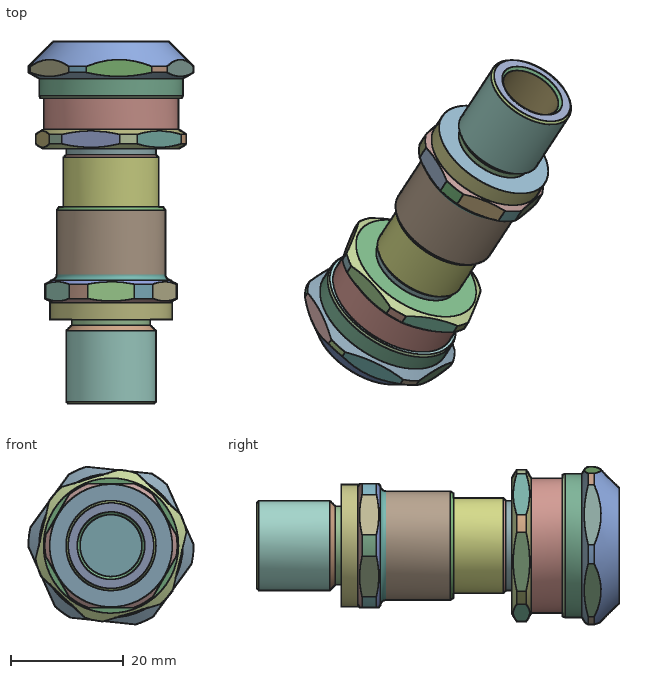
import cadquery as cq
import math


thread_dia = 16.0
thread_tip_chamfer = 0.4
thread_length = 13.0
neck_dia = 14.0
nipple_length = 15.0
neck_cone_length = (thread_dia - neck_dia) / 2

bore_dia = 11.0
bore_chamfer = 0.5
bore_depth = nipple_length

collar_dia = 21.8
collar_length = 3.0
entry_hex_length = 4.0
entry_hex_flats = 22.0
entry_hex_corners = 23.5
entry_hex_face_dia = 21.0
entry_hex_angle = 90.0

body_dia = 19.4
body_fillet = 1.0
body_end = 35.0
body_chamfer_length = 0.6
body_chamfer_depth = 0.4

sleeve_dia = 17.0
sleeve_end_dia = 16.0
sleeve_chamfer_start = 43.8
sleeve_chamfer = (sleeve_dia - sleeve_end_dia) / 2

middle_hex_start = 45.3
middle_hex_length = 3.5
middle_hex_flats = 25.0
middle_hex_corners = 27.2
middle_hex_face_dia = 24.0
middle_hex_angle = 46.8

barrel_dia = 24.0
rim_dia = 25.6
rim_start = 54.3
rim_chamfer_length = 0.5
rim_chamfer_depth = 0.2

cap_start = 57.8
cap_flats = 27.0
cap_corners = 29.4
cap_angle = 84.0
total_length = 64.44
cap_end_dia = 20.5
recess_dia = 18.0
recess_depth = 0.4

hex_chamfer_slope = math.tan(math.radians(30))
hex_half_sector = 30.0

collar_end = nipple_length + collar_length
entry_hex_end = collar_end + entry_hex_length
middle_hex_end = middle_hex_start + middle_hex_length


def cylinder(diameter, start, end):
    """Round bar along Y between two stations."""
    return cq.Workplane("XZ", origin=(0, start, 0)).circle(diameter / 2).extrude(start - end)


def revolve_profile(points):
    """Solid of revolution about Y from (radius, station) points that start and end on the axis."""
    return cq.Workplane("XY").polyline(points).close().revolve(360, (0, 0), (0, 1))


def hexagon(across_flats, flat_angle, start, end):
    """Hexagonal bar along Y with one flat facing flat_angle, measured from +X towards +Z."""
    corner_dia = across_flats / math.cos(math.radians(hex_half_sector))
    bar = cq.Workplane("XZ", origin=(0, start, 0)).polygon(6, corner_dia).extrude(start - end)
    return bar.rotate((0, 0, 0), (0, 1, 0), hex_half_sector - flat_angle)


def chamfered_hexagon(across_flats, across_corners, face_dia, flat_angle, start, end):
    """Hexagon with rounded-off corners and a conical chamfer on both faces."""
    corner_radius = across_corners / 2
    face_radius = face_dia / 2
    chamfer_length = (corner_radius - face_radius) * hex_chamfer_slope
    envelope = revolve_profile([
        (0, start),
        (face_radius, start),
        (corner_radius, start + chamfer_length),
        (corner_radius, end - chamfer_length),
        (face_radius, end),
        (0, end),
    ])
    return hexagon(across_flats, flat_angle, start, end).intersect(envelope)


def nipple():
    thread_radius = thread_dia / 2
    neck_radius = neck_dia / 2
    return revolve_profile([
        (0, 0),
        (thread_radius - thread_tip_chamfer, 0),
        (thread_radius, thread_tip_chamfer),
        (thread_radius, thread_length),
        (neck_radius, thread_length + neck_cone_length),
        (neck_radius, nipple_length),
        (0, nipple_length),
    ])


def bore():
    radius = bore_dia / 2
    return revolve_profile([
        (0, 0),
        (radius + bore_chamfer, 0),
        (radius, bore_chamfer),
        (radius, bore_depth),
        (0, bore_depth),
    ])


def entry_body():
    """Collar, hexagon and round body that meets the hexagon in a concave fillet."""
    radius = body_dia / 2
    fillet_offset = body_fillet * (1 - math.cos(math.radians(45)))
    barrel = (
        cq.Workplane("XY")
        .moveTo(0, entry_hex_end)
        .lineTo(radius + body_fillet, entry_hex_end)
        .threePointArc(
            (radius + fillet_offset, entry_hex_end + fillet_offset),
            (radius, entry_hex_end + body_fillet),
        )
        .lineTo(radius, body_end - body_chamfer_length)
        .lineTo(radius - body_chamfer_depth, body_end)
        .lineTo(0, body_end)
        .close()
        .revolve(360, (0, 0), (0, 1))
    )
    hex_part = chamfered_hexagon(
        entry_hex_flats, entry_hex_corners, entry_hex_face_dia, entry_hex_angle, collar_end, entry_hex_end
    )
    return cylinder(collar_dia, nipple_length, collar_end).union(hex_part).union(barrel)


def sleeve():
    radius = sleeve_dia / 2
    end_radius = sleeve_end_dia / 2
    return revolve_profile([
        (0, body_end),
        (radius, body_end),
        (radius, sleeve_chamfer_start),
        (end_radius, sleeve_chamfer_start + sleeve_chamfer),
        (end_radius, middle_hex_start),
        (0, middle_hex_start),
    ])


def middle_nut():
    """Hexagon followed by the plain barrel and the wider rim."""
    hex_part = chamfered_hexagon(
        middle_hex_flats,
        middle_hex_corners,
        middle_hex_face_dia,
        middle_hex_angle,
        middle_hex_start,
        middle_hex_end,
    )
    rim_radius = rim_dia / 2
    rim = revolve_profile([
        (0, rim_start),
        (rim_radius - rim_chamfer_depth, rim_start),
        (rim_radius, rim_start + rim_chamfer_length),
        (rim_radius, cap_start),
        (0, cap_start),
    ])
    return hex_part.union(cylinder(barrel_dia, middle_hex_end, rim_start)).union(rim)


def cap_nut():
    """Hexagon chamfered towards the rim, coned at the far end, with a shallow recess there."""
    corner_radius = cap_corners / 2
    face_radius = rim_dia / 2
    end_radius = cap_end_dia / 2
    cone_length = corner_radius - end_radius
    envelope = revolve_profile([
        (0, cap_start),
        (face_radius, cap_start),
        (corner_radius, cap_start + (corner_radius - face_radius) * hex_chamfer_slope),
        (corner_radius, total_length - cone_length),
        (end_radius, total_length),
        (0, total_length),
    ])
    cap = hexagon(cap_flats, cap_angle, cap_start, total_length).intersect(envelope)
    return cap.cut(cylinder(recess_dia, total_length - recess_depth, total_length))


result = (
    nipple()
    .union(entry_body())
    .union(sleeve())
    .union(middle_nut())
    .union(cap_nut())
    .cut(bore())
)